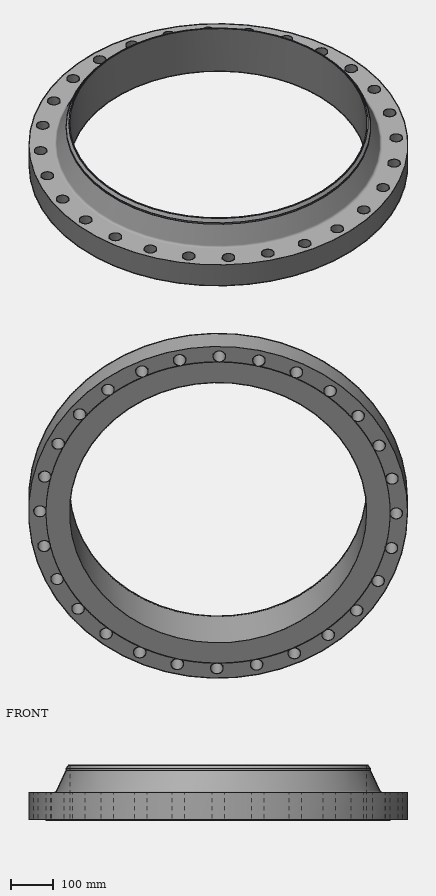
import cadquery as cq
import math

flange_diameter = 882.0
total_height = 129.0
bore_radius = 346.0

flange_top = 65.0
raised_face_radius = 401.0
raised_face_height = 2.0

bolt_hole_count = 28
bolt_hole_diameter = 29.0
bolt_circle_radius = 415.0

hub_base_radius = 378.5
neck_radius = 355.0
neck_band_height = 4.0
bevel_angle = 37.5
land_width = 3.0
hub_fillet_radius = 7.0

flange_radius = flange_diameter / 2
land_radius = bore_radius + land_width
bevel_height = (neck_radius - land_radius) / math.tan(math.radians(bevel_angle))
bevel_start = total_height - bevel_height
hub_top = bevel_start - neck_band_height


def flange_body():
    """Revolve the half section (radius, height) around the Z axis."""
    section = (
        cq.Workplane("XZ")
        .moveTo(bore_radius, 0)
        .lineTo(raised_face_radius, 0)
        .lineTo(raised_face_radius, raised_face_height)
        .lineTo(flange_radius, raised_face_height)
        .lineTo(flange_radius, flange_top)
        .lineTo(hub_base_radius, flange_top)
        .lineTo(neck_radius, hub_top)
        .lineTo(neck_radius, bevel_start)
        .lineTo(land_radius, total_height)
        .lineTo(bore_radius, total_height)
        .close()
    )
    return section.revolve(360, (0, 0, 0), (0, 1, 0))


def round_hub_base(body):
    """Fillet the circle where the hub cone meets the flange plate."""
    reach = hub_base_radius + hub_fillet_radius / 2
    margin = hub_fillet_radius / 2
    hub_corner = cq.selectors.BoxSelector(
        (-reach, -reach, flange_top - margin),
        (reach, reach, flange_top + margin),
        boundingbox=True,
    )
    return body.edges(hub_corner).fillet(hub_fillet_radius)


def bolt_holes():
    """Cutting cylinders for the full bolt circle, first one on +X."""
    return (
        cq.Workplane("XY")
        .polarArray(bolt_circle_radius, 0, 360, bolt_hole_count)
        .circle(bolt_hole_diameter / 2)
        .extrude(flange_top)
    )


result = round_hub_base(flange_body()).cut(bolt_holes())